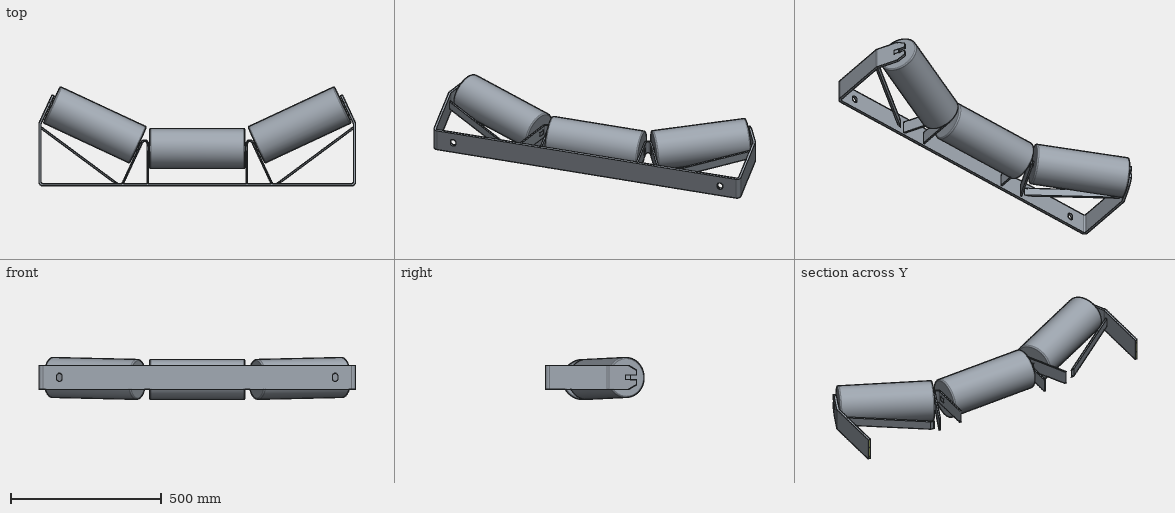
import cadquery as cq
import math


FRAME_LENGTH = 1050.0
FRAME_THICKNESS = 8.0
FRAME_WIDTH = 80.0
FRAME_BEND_RADIUS = 14.0
SIDE_HEIGHT = 208.0
ARM_LENGTH = 104.0
ARM_TIP_CHAMFER = 15.0
ARM_TIP_CHAMFER_LENGTH = 27.0
MOUNT_HOLE_SPACING = 914.0
MOUNT_HOLE_WIDTH = 19.0
MOUNT_HOLE_HEIGHT = 26.0

TROUGH_ANGLE = math.radians(25)

BRACKET_THICKNESS = 5.0
BRACKET_WIDTH = 47.0
BRACKET_BEND_RADIUS = 13.0
BRACKET_SPACING = 323.0
BRACKET_LEG_SPREAD = 88.0

BRACE_THICKNESS = 6.0
BRACE_WIDTH = 30.0
BRACE_FOOT_X = -262.0
BRACE_FOOT_GAP = 5.0
BRACE_TOP_Y = 196.0

ROLLER_LENGTH = 315.0
ROLLER_DIAMETER = 133.0
ROLLER_EDGE_RADIUS = 4.0
SHAFT_DIAMETER = 20.0
TANG_HEIGHT = 18.0
TANG_WIDTH = 16.0
CENTER_ROLLER_Y = 124.0
INNER_SHAFT_DROP = 6.8
ARM_SLOT_INSET = 30.0

ALONG_ROLLER = cq.Vector(math.cos(TROUGH_ANGLE), -math.sin(TROUGH_ANGLE), 0)
ALONG_ARM = cq.Vector(math.sin(TROUGH_ANGLE), math.cos(TROUGH_ANGLE), 0)

half_length = FRAME_LENGTH / 2
arm_corner = cq.Vector(-half_length, SIDE_HEIGHT, 0)
arm_tip = arm_corner + ALONG_ARM * ARM_LENGTH
leg_x = -BRACKET_SPACING / 2
bracket_foot = cq.Vector(leg_x - BRACKET_LEG_SPREAD, FRAME_THICKNESS, 0)
bracket_apex_y = FRAME_THICKNESS + BRACKET_LEG_SPREAD / math.tan(TROUGH_ANGLE)
bracket_apex = cq.Vector(leg_x, bracket_apex_y, 0)

outer_span = (bracket_foot - arm_corner).dot(ALONG_ROLLER) - FRAME_THICKNESS

outer_start = arm_tip - ALONG_ARM * ARM_SLOT_INSET + ALONG_ROLLER * FRAME_THICKNESS
outer_end = outer_start + ALONG_ROLLER * outer_span - cq.Vector(0, 0, INNER_SHAFT_DROP)
outer_middle = (outer_start + outer_end) * 0.5
OUTER_PLANE = cq.Plane(outer_middle, ALONG_ARM, outer_end - outer_start)
CENTER_PLANE = cq.Plane((0, CENTER_ROLLER_Y, -INNER_SHAFT_DROP), (0, 1, 0), (1, 0, 0))


def mirrored(body):
    return body.mirror("YZ")


def bent_strip(outer_points, thickness, width, bend_radius):
    """Strip whose outer face follows the points; its thickness lies to their right."""
    normals = []
    for start, end in zip(outer_points, outer_points[1:]):
        direction = (end - start).normalized()
        normals.append(cq.Vector(direction.y, -direction.x, 0))
    bends = list(zip(normals, normals[1:]))
    offsets = [normals[0]]
    offsets += [(before + after) * (1 / (1 + before.dot(after))) for before, after in bends]
    offsets += [normals[-1]]
    inner_points = [point + offset * thickness for point, offset in zip(outer_points, offsets)]

    outline = [point.toTuple()[:2] for point in outer_points + inner_points[::-1]]
    strip = cq.Workplane("XY").polyline(outline).close().extrude(width / 2, both=True)
    for outer, inner in zip(outer_points[1:-1], inner_points[1:-1]):
        strip = strip.edges(cq.NearestToPointSelector(outer.toTuple())).fillet(bend_radius)
        strip = strip.edges(cq.NearestToPointSelector(inner.toTuple())).fillet(bend_radius - thickness)
    return strip


def tang(plane, start, length, height_above=TANG_HEIGHT / 2):
    """Flat shaft end, from `start` along the shaft, reaching `height_above` over the shaft axis."""
    height = TANG_HEIGHT / 2 + height_above
    middle = (height_above - TANG_HEIGHT / 2) / 2
    face = cq.Workplane(plane).workplane(offset=start).center(middle, 0)
    return face.rect(height, TANG_WIDTH).extrude(length)


def make_roller(plane, span, start_plate, end_plate):
    """Roller centred on the plane, its shaft spanning two plates and passing through both."""
    body = cq.Workplane(plane).workplane(offset=-ROLLER_LENGTH / 2)
    body = body.circle(ROLLER_DIAMETER / 2).extrude(ROLLER_LENGTH)
    body = body.edges("%CIRCLE").fillet(ROLLER_EDGE_RADIUS)
    shaft = cq.Workplane(plane).circle(SHAFT_DIAMETER / 2).extrude(span / 2, both=True)
    start_tang = tang(plane, -span / 2, -start_plate)
    end_tang = tang(plane, span / 2, end_plate)
    return body.union(shaft).union(start_tang).union(end_tang)


def arm_tip_chamfers():
    """Wedges that bevel both corners of the left arm's tip, seen square to the arm."""
    arm_face = cq.Workplane(cq.Plane(arm_tip, ALONG_ARM, ALONG_ROLLER))
    wedges = cq.Workplane("XY")
    for edge in (-1, 1):
        corner = edge * FRAME_WIDTH / 2
        outline = [(0, corner), (-ARM_TIP_CHAMFER_LENGTH, corner), (0, corner - edge * ARM_TIP_CHAMFER)]
        wedges = wedges.add(arm_face.polyline(outline).close().extrude(FRAME_THICKNESS * 2, both=True))
    return wedges.combine()


def make_frame():
    """Bent strip with bevelled, slotted arms and two upright mounting slots in its base."""
    outer_points = [
        arm_tip,
        arm_corner,
        cq.Vector(-half_length, 0, 0),
        cq.Vector(half_length, 0, 0),
        cq.Vector(half_length, SIDE_HEIGHT, 0),
        cq.Vector(-arm_tip.x, arm_tip.y, 0),
    ]
    strip = bent_strip(outer_points[::-1], FRAME_THICKNESS, FRAME_WIDTH, FRAME_BEND_RADIUS)

    arm_slot = tang(OUTER_PLANE, 0, -outer_span, ARM_LENGTH)
    for cutter in (arm_tip_chamfers(), arm_slot):
        strip = strip.cut(cutter).cut(mirrored(cutter))

    hole_centers = [(-MOUNT_HOLE_SPACING / 2, 0), (MOUNT_HOLE_SPACING / 2, 0)]
    holes = cq.Workplane("XZ").pushPoints(hole_centers)
    holes = holes.slot2D(MOUNT_HOLE_HEIGHT, MOUNT_HOLE_WIDTH, 90).extrude(-FRAME_THICKNESS)
    return strip.cut(holes)


def make_bracket():
    """Left bracket: a sloping leg, a tight bend and an upright leg, with a hole in each leg."""
    outer_points = [bracket_foot, bracket_apex, cq.Vector(leg_x, FRAME_THICKNESS, 0)]
    strip = bent_strip(outer_points, BRACKET_THICKNESS, BRACKET_WIDTH, BRACKET_BEND_RADIUS)
    strip = strip.translate((0, 0, -INNER_SHAFT_DROP))
    base = cq.Workplane("XY").box(FRAME_LENGTH, FRAME_THICKNESS * 2, FRAME_WIDTH)
    outer_hole = tang(OUTER_PLANE, 0, outer_span / 2 + 2 * BRACKET_THICKNESS)
    center_hole = tang(CENTER_PLANE, 0, -BRACKET_SPACING / 2 - 2 * BRACKET_THICKNESS)
    return strip.cut(base).cut(outer_hole).cut(center_hole)


def make_brace():
    """Left brace: a flat bar from the frame's side down to its base."""
    top_x = FRAME_THICKNESS - half_length
    slope = math.atan2(BRACE_TOP_Y - FRAME_THICKNESS, BRACE_FOOT_X - top_x)
    lower_top_y = BRACE_TOP_Y - BRACE_THICKNESS / math.cos(slope)
    lower_end_y = FRAME_THICKNESS + BRACE_FOOT_GAP
    lower_end_x = top_x + (lower_top_y - lower_end_y) / math.tan(slope)
    outline = [
        (top_x, BRACE_TOP_Y),
        (BRACE_FOOT_X, FRAME_THICKNESS),
        (lower_end_x, lower_end_y),
        (top_x, lower_top_y),
    ]
    return cq.Workplane("XY").polyline(outline).close().extrude(BRACE_WIDTH / 2, both=True)


frame = make_frame()
center_roller = make_roller(CENTER_PLANE, BRACKET_SPACING, BRACKET_THICKNESS, BRACKET_THICKNESS)
left_bracket = make_bracket()
left_brace = make_brace()
left_roller = make_roller(OUTER_PLANE, outer_span, FRAME_THICKNESS, BRACKET_THICKNESS)
left_roller = left_roller.cut(frame).cut(left_bracket)

side_solids = []
for left_body in (left_bracket, left_brace, left_roller):
    side_solids += [left_body.val(), mirrored(left_body).val()]

result = cq.Compound.makeCompound([frame.val(), center_roller.val(), *side_solids])